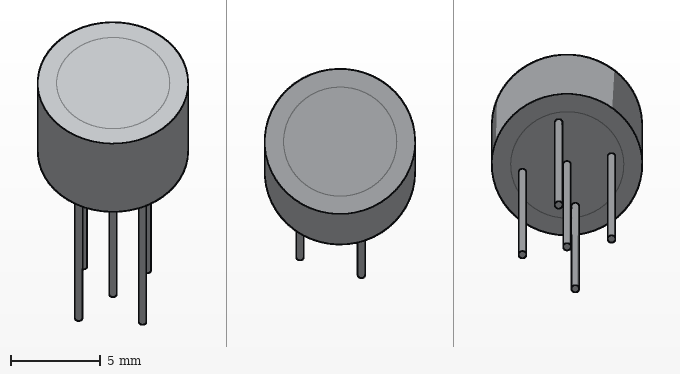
import cadquery as cq

total_height = 20.0
body_diameter = 8.45
body_height = 6.48

window_diameter = 6.35

lead_diameter = 0.45
lead_pitch = 2.55
lead_length = total_height - body_height
lead_positions = [
    (0, 0),
    (lead_pitch, 0),
    (-lead_pitch, 0),
    (0, lead_pitch),
    (0, -lead_pitch),
]


def make_body():
    """Cylindrical can standing on the XY plane, with its core flush at the top."""
    window_core = cq.Workplane("XY").circle(window_diameter / 2).extrude(body_height)
    shell = (
        cq.Workplane("XY")
        .circle(body_diameter / 2)
        .circle(window_diameter / 2)
        .extrude(body_height)
    )
    return shell.union(window_core, clean=False)


def make_leads():
    """Round leads hanging down from the underside of the body."""
    return (
        cq.Workplane("XY")
        .pushPoints(lead_positions)
        .circle(lead_diameter / 2)
        .extrude(-lead_length)
    )


result = make_body().union(make_leads(), clean=False)